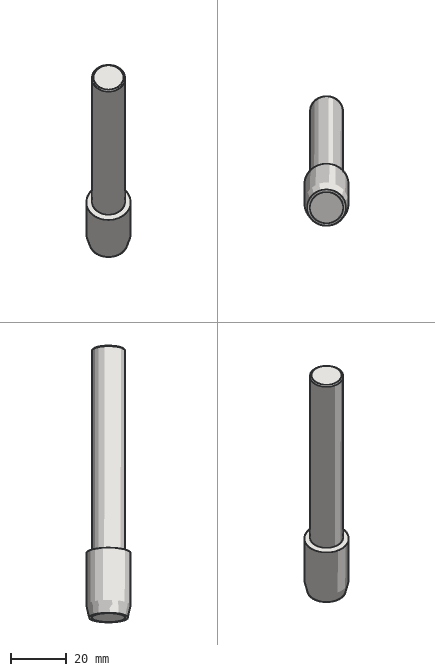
import cadquery as cq

total_length = 100.0
rod_radius = 6.0
rod_chamfer_width = 0.6
rod_chamfer_height = 0.5
sleeve_radius = 8.0
sleeve_length = 24.5
shoulder_height = 0.5
nose_height = 4.5
nose_end_radius = 7.0


def make_rod():
    """Straight round rod with a beveled top edge."""
    rod = cq.Workplane("XY").circle(rod_radius).extrude(total_length)
    return rod.faces(">Z").chamfer(rod_chamfer_height, rod_chamfer_width)


def make_sleeve():
    """Sleeve around the rod, with a shallow conical shoulder and a tapered nose."""
    return (
        cq.Workplane("XZ")
        .moveTo(rod_radius, 0)
        .lineTo(nose_end_radius, 0)
        .lineTo(sleeve_radius, nose_height)
        .lineTo(sleeve_radius, sleeve_length - shoulder_height)
        .lineTo(rod_radius, sleeve_length)
        .close()
        .revolve(360, (0, 0), (0, 1))
    )


rod = make_rod()
sleeve = make_sleeve()
result = cq.Compound.makeCompound([rod.val(), sleeve.val()])